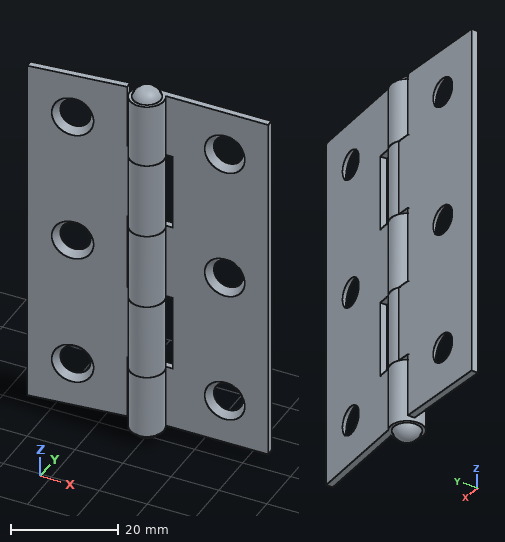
import cadquery as cq

total_height = 79.45
leaf_height = 75.0
leaf_reach = 24.5
leaf_thickness = 1.5
leaf_offset = 2.4
leaf_front = leaf_offset - leaf_thickness / 2
left_leaf_angle = 6.0

barrel_diameter = 7.1
pin_radius = 2.9
inner_knuckle_height = 16.05
notch_reach = 4.5

hole_diameter = 5.95
countersink_diameter = 8.35
hole_reach = 15.4
hole_spacing = 28.05

end_knuckle_height = (leaf_height - 3 * inner_knuckle_height) / 2
inner_knuckle_center = inner_knuckle_height
end_knuckle_center = (leaf_height - end_knuckle_height) / 2
left_knuckles = [
    (-inner_knuckle_center, inner_knuckle_height),
    (inner_knuckle_center, inner_knuckle_height),
]
right_knuckles = [
    (-end_knuckle_center, end_knuckle_height),
    (0, inner_knuckle_height),
    (end_knuckle_center, end_knuckle_height),
]


def screw_hole(z):
    """Cutter for a countersink tapering through the full leaf thickness."""
    return (
        cq.Workplane("XZ", origin=(hole_reach, leaf_front, z))
        .circle(countersink_diameter / 2)
        .workplane(offset=-leaf_thickness)
        .circle(hole_diameter / 2)
        .loft(ruled=True)
    )


def make_leaf(knuckles):
    """Leaf extending toward +X, with knuckles given as (center Z, height)."""
    leaf = cq.Workplane("XY").box(
        leaf_reach - notch_reach, leaf_thickness, leaf_height
    ).translate(((leaf_reach + notch_reach) / 2, leaf_offset, 0))

    for center_z, height in knuckles:
        tongue = cq.Workplane("XY").box(notch_reach, leaf_thickness, height).translate(
            (notch_reach / 2, leaf_offset, center_z)
        )
        barrel = (
            cq.Workplane("XY", origin=(0, 0, center_z - height / 2))
            .circle(barrel_diameter / 2)
            .extrude(height)
        )
        leaf = leaf.union(tongue).union(barrel)

    bore = cq.Workplane("XY").circle(pin_radius).extrude(leaf_height / 2, both=True)
    leaf = leaf.cut(bore)
    for z in (-hole_spacing, 0, hole_spacing):
        leaf = leaf.cut(screw_hole(z))
    return leaf


def make_pin():
    """Pin with a domed head at each end, revolved from its half profile."""
    tip_z = total_height / 2
    rim_z = leaf_height / 2
    dome_height = tip_z - rim_z
    dome_radius = (pin_radius**2 + dome_height**2) / (2 * dome_height)
    arc_x = pin_radius / 2
    arc_z = tip_z - dome_radius + (dome_radius**2 - arc_x**2) ** 0.5
    return (
        cq.Workplane("XZ")
        .moveTo(0, -tip_z)
        .threePointArc((arc_x, -arc_z), (pin_radius, -rim_z))
        .lineTo(pin_radius, rim_z)
        .threePointArc((arc_x, arc_z), (0, tip_z))
        .close()
        .revolve(360, (0, 0, 0), (0, 1, 0))
    )


right_leaf = make_leaf(right_knuckles)
left_leaf = make_leaf(left_knuckles).mirror("YZ").rotate((0, 0, 0), (0, 0, 1), left_leaf_angle)
pin = make_pin()

result = cq.Compound.makeCompound([right_leaf.val(), left_leaf.val(), pin.val()])